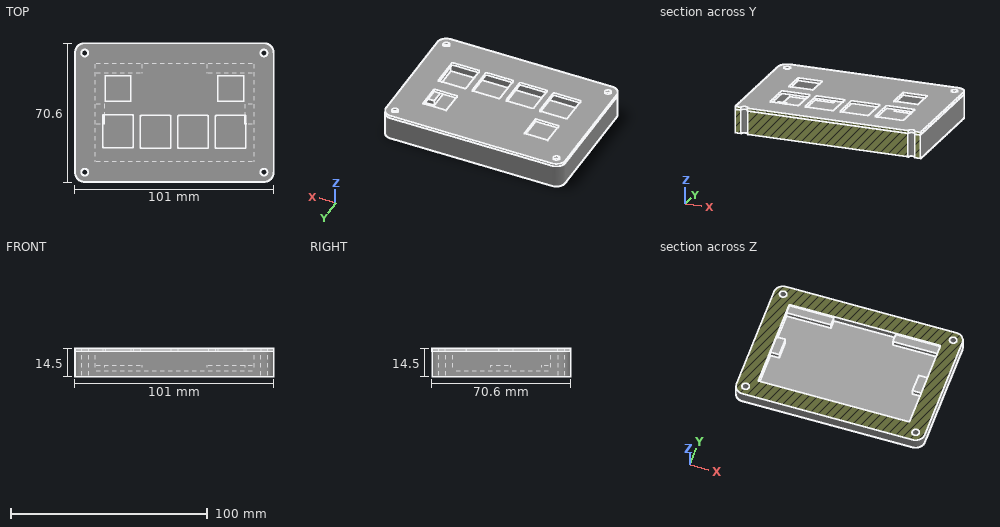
import cadquery as cq

case_length = 101.0
case_width = 70.5
corner_radius = 5.0
base_height = 13.0
lid_thickness = 1.5
lid_shift = 0.12

base_center_y = lid_shift / 2
lid_center_y = -lid_shift / 2

screw_inset = 5.0
lid_screw_diameter = 3.4
base_screw_diameter = 3.5

floor_thickness = 3.0
cavity_length = 80.7
cavity_width = 49.8

ledge_height = 2.9
ledge_depth = 4.7
back_ledge_length = 23.8
side_ledge_length = 10.0
side_ledge_center_y = -0.6

key_count = 4
key_pitch = 19.05
key_opening_length = 15.5
key_opening_width = 16.6
key_corner_radius = 0.5
key_row_y = -9.8
first_key_offset_y = 0.3
knob_opening_size = 13.1
knob_spacing = (key_count - 1) * key_pitch
knob_y = 12.25


def rounded_plate(center_y, thickness):
    """Plate of the case outline, standing on Z = 0."""
    return (
        cq.Workplane("XY")
        .center(0, center_y)
        .rect(case_length, case_width)
        .extrude(thickness)
        .edges("|Z")
        .fillet(corner_radius)
    )


def corner_screw_holes(center_y, diameter, thickness):
    """Four cylinders that cut the screw holes of a plate."""
    return (
        cq.Workplane("XY")
        .center(0, center_y)
        .rect(case_length - 2 * screw_inset, case_width - 2 * screw_inset, forConstruction=True)
        .vertices()
        .circle(diameter / 2)
        .extrude(thickness)
    )


def floor_block(length, width, height, x, y):
    """Upright block that stands on the cavity floor."""
    return (
        cq.Workplane("XY", origin=(x, y, floor_thickness))
        .rect(length, width)
        .extrude(height)
    )


def make_base():
    """Tray with a central cavity, board ledges and screw holes."""
    body = rounded_plate(base_center_y, base_height)
    cavity_depth = base_height - floor_thickness
    body = body.cut(floor_block(cavity_length, cavity_width, cavity_depth, 0, base_center_y))
    back_ledge_x = (cavity_length - back_ledge_length) / 2
    back_ledge_y = base_center_y + (cavity_width - ledge_depth) / 2
    side_ledge_x = (cavity_length - ledge_depth) / 2
    for side in (-1, 1):
        back_ledge = floor_block(
            back_ledge_length, ledge_depth, ledge_height, side * back_ledge_x, back_ledge_y
        )
        side_ledge = floor_block(
            ledge_depth, side_ledge_length, ledge_height, side * side_ledge_x, side_ledge_center_y
        )
        body = body.union(back_ledge).union(side_ledge)
    return body.cut(corner_screw_holes(base_center_y, base_screw_diameter, base_height))


def key_opening(index):
    """Cutter for one key of the row, counted from -X."""
    x = (index - (key_count - 1) / 2) * key_pitch
    y = key_row_y
    if index == 0:
        y += first_key_offset_y
    return (
        cq.Workplane("XY", origin=(x, y, 0))
        .rect(key_opening_length, key_opening_width)
        .extrude(lid_thickness)
        .edges("|Z")
        .fillet(key_corner_radius)
    )


def make_lid():
    """Flat cover plate with key, knob and screw openings."""
    plate = rounded_plate(lid_center_y, lid_thickness)
    plate = plate.cut(corner_screw_holes(lid_center_y, lid_screw_diameter, lid_thickness))
    for index in range(key_count):
        plate = plate.cut(key_opening(index))
    knob_openings = (
        cq.Workplane("XY", origin=(0, knob_y, 0))
        .pushPoints([(-knob_spacing / 2, 0), (knob_spacing / 2, 0)])
        .rect(knob_opening_size, knob_opening_size)
        .extrude(lid_thickness)
    )
    return plate.cut(knob_openings).translate((0, 0, base_height))


base = make_base()
lid = make_lid()
result = cq.Compound.makeCompound([base.val(), lid.val()])